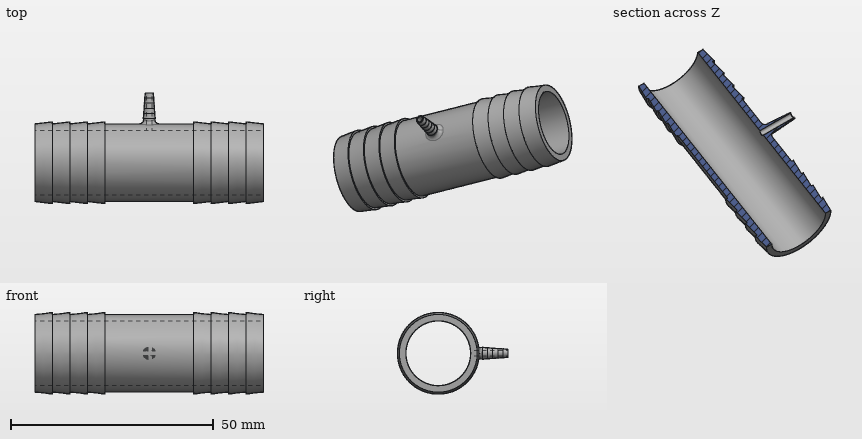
import cadquery as cq

tube_length = 56.4
tube_diameter = 19.2
bore_diameter = 15.9
barb_diameter = 20.2
barbed_length = 17.25
barbs_per_end = 4
barb_pitch = barbed_length / barbs_per_end

spigot_reach = 17.2
spigot_bore_diameter = 1.4
spigot_tip_diameter = 2.0
spigot_base_diameter = 2.9
spigot_barbed_length = 6.3
spigot_barb_count = 5
spigot_barb_pitch = spigot_barbed_length / spigot_barb_count
spigot_barb_flare = 0.31
spigot_barb_growth = 0.185
spigot_fillet_radius = 1.0


def barb(plane, start, end, start_diameter, end_diameter):
    """A truncated cone along the plane normal, between two distances from its origin."""
    return (
        cq.Workplane(plane)
        .workplane(offset=start)
        .circle(start_diameter / 2)
        .workplane(offset=end - start)
        .circle(end_diameter / 2)
        .loft()
    )


def cylinder(plane, start, end, diameter):
    return cq.Workplane(plane).workplane(offset=start).circle(diameter / 2).extrude(end - start)


along_x = cq.Plane.YZ()
along_y = cq.Plane(origin=(0, 0, 0), xDir=(1, 0, 0), normal=(0, 1, 0))
half_length = tube_length / 2

body = cylinder(along_x, -half_length, half_length, tube_diameter)
stem_end = spigot_reach - spigot_barbed_length
body = body.union(cylinder(along_y, 0, stem_end, spigot_base_diameter))
junction = cq.selectors.BoxSelector(
    (-spigot_base_diameter, tube_diameter / 4, -spigot_base_diameter),
    (spigot_base_diameter, (tube_diameter / 2 + stem_end) / 2, spigot_base_diameter),
)
body = body.edges(junction).edges("not %LINE").fillet(spigot_fillet_radius)

for side in (-1, 1):
    for index in range(barbs_per_end):
        outer_end = side * (half_length - index * barb_pitch)
        inner_end = outer_end - side * barb_pitch
        body = body.union(barb(along_x, outer_end, inner_end, tube_diameter, barb_diameter))

for index in range(spigot_barb_count):
    outer_end = spigot_reach - index * spigot_barb_pitch
    inner_end = outer_end - spigot_barb_pitch
    outer_diameter = spigot_tip_diameter + index * spigot_barb_growth
    inner_diameter = outer_diameter + spigot_barb_flare
    body = body.union(barb(along_y, outer_end, inner_end, outer_diameter, inner_diameter))

body = body.cut(cylinder(along_x, -half_length, half_length, bore_diameter))
result = body.cut(cylinder(along_y, 0, spigot_reach, spigot_bore_diameter))